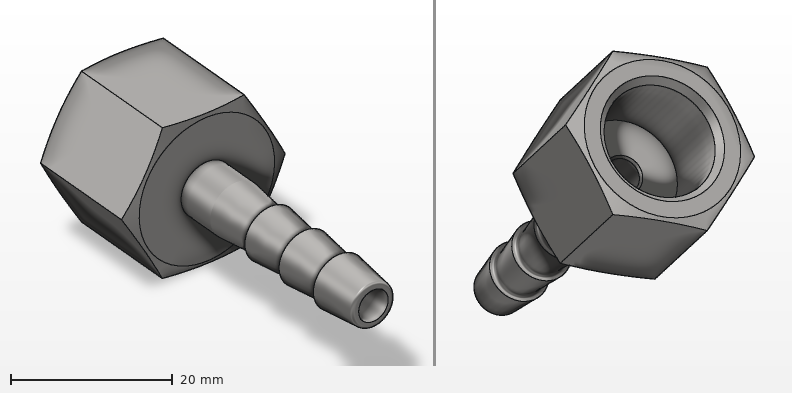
import cadquery as cq
import math

total_length = 52.0
nut_length = 18.0

hexagon_sides = 6
across_flats = 22.0
across_corners = across_flats / math.cos(math.pi / hexagon_sides)
end_face_diameter = 21.0
corner_setback = 0.75
thread_diameter = 14.9
countersink_diameter = 16.7
countersink_depth = (countersink_diameter - thread_diameter) / 2
nut_wall = 3.1

stem_diameter = 8.0
flange_diameter = 14.5
flange_thickness = 2.6
bore_diameter = 4.6
bore_mouth_diameter = 5.2
bore_mouth_depth = (bore_mouth_diameter - bore_diameter) / 2

barb_count = 4
barbed_length = 28.0
barb_pitch = barbed_length / barb_count
barb_start = total_length - barbed_length
barb_tip_diameter = 6.55
fillet_radius = 0.5
tip_rounding = 0.45

flange_back = nut_length - nut_wall
flange_front = flange_back - flange_thickness


def revolve_about_x(profile):
    """Revolve a profile drawn as (x, radius) a full turn about the X axis."""
    return profile.close().revolve(360, (0, 0, 0), (1, 0, 0))


def x_cylinder(start, end, diameter):
    """Cylinder along the X axis between two X positions."""
    return cq.Workplane("YZ").workplane(offset=start).circle(diameter / 2).extrude(end - start)


def make_nut():
    """Hexagon nut with chamfered corners, a countersunk thread bore and a back wall."""
    hexagon = cq.Workplane("YZ").polygon(hexagon_sides, across_corners).extrude(nut_length)
    corner_radius = across_corners / 2
    end_radius = end_face_diameter / 2
    corner_envelope = revolve_about_x(
        cq.Workplane("XZ")
        .lineTo(0, end_radius)
        .lineTo(corner_setback, corner_radius)
        .lineTo(nut_length - corner_setback, corner_radius)
        .lineTo(nut_length, end_radius)
        .lineTo(nut_length, 0)
    )
    cavity = revolve_about_x(
        cq.Workplane("XZ")
        .lineTo(0, countersink_diameter / 2)
        .lineTo(countersink_depth, thread_diameter / 2)
        .lineTo(flange_back, thread_diameter / 2)
        .lineTo(flange_back, 0)
    )
    stem_hole = x_cylinder(flange_back, nut_length, stem_diameter)
    return hexagon.intersect(corner_envelope).cut(cavity).cut(stem_hole)


def make_stem():
    """Flanged hose stem with tapered barbs and a through bore."""
    stem_radius = stem_diameter / 2
    barb_tip_radius = barb_tip_diameter / 2
    profile = (
        cq.Workplane("XZ")
        .moveTo(flange_front, 0)
        .lineTo(flange_front, flange_diameter / 2)
        .lineTo(flange_back, flange_diameter / 2)
        .lineTo(flange_back, stem_radius)
        .lineTo(barb_start, stem_radius)
    )
    for index in range(1, barb_count):
        shoulder = barb_start + index * barb_pitch
        profile = (
            profile.lineTo(shoulder - fillet_radius, barb_tip_radius)
            .radiusArc((shoulder, barb_tip_radius + fillet_radius), -fillet_radius)
            .lineTo(shoulder, stem_radius)
        )
    profile = (
        profile.lineTo(total_length - tip_rounding, barb_tip_radius)
        .radiusArc((total_length, barb_tip_radius - tip_rounding), tip_rounding)
        .lineTo(total_length, 0)
    )
    bore = x_cylinder(flange_front, total_length, bore_diameter)
    bore_mouth = revolve_about_x(
        cq.Workplane("XZ")
        .moveTo(flange_front, 0)
        .lineTo(flange_front, bore_mouth_diameter / 2)
        .lineTo(flange_front + bore_mouth_depth, bore_diameter / 2)
        .lineTo(flange_front + bore_mouth_depth, 0)
    )
    return revolve_about_x(profile).cut(bore).cut(bore_mouth)


nut = make_nut()
stem = make_stem()

result = cq.Compound.makeCompound([nut.val(), stem.val()])